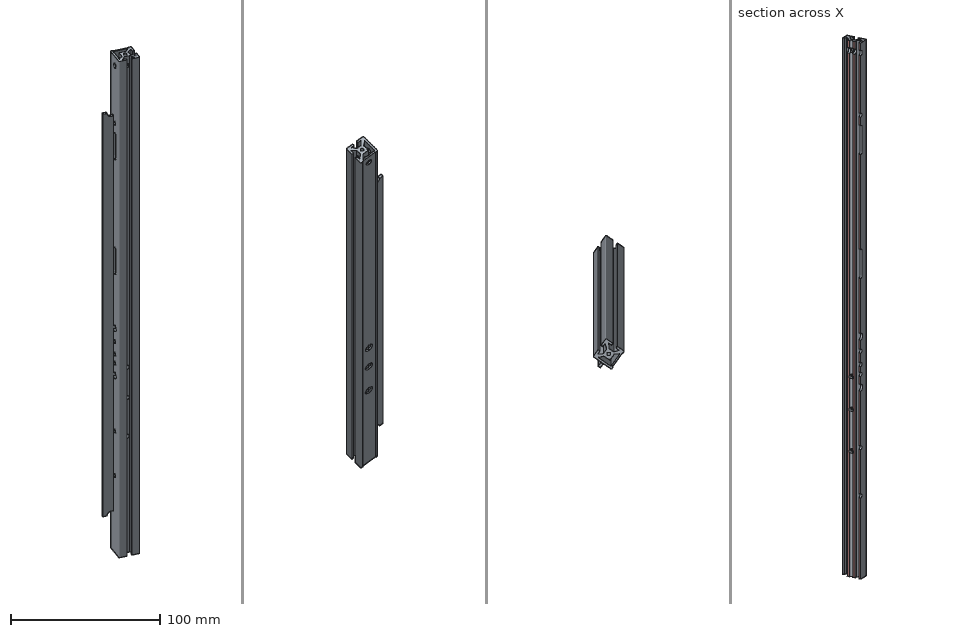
import cadquery as cq

length = 386.8
side = 15.0
corner_radius = 0.5
half = side / 2

wall = 1.5
slot_opening = 3.5
undercut_width = 8.5
core_width = 6.0
slot_floor_width = 4.0
bore_diameter = 2.5

panel_width = 11.5
panel_depth = 0.5

total_depth = 23.0
fin_thickness = 2.0
fin_center_x = -2.9
fin_bottom = 28.5
fin_top = 342.3
fin_tip_width = 3.0
scoop_radius = 3.0

pin_hole_diameter = 2.7
pin_hole_heights = [60.0, 94.8, 147.7, 154.7, 164.5, 334.5]
front_hole_diameter = 4.5
front_hole_heights = [138.0, 175.0]
window_width = 3.5
window_length = 21.0
window_heights = [227.5, 316.7]

top_hole_height = 379.5
top_hole_front_diameter = 3.5
top_hole_side_diameter = 4.5

side_hole_heights = [90.5, 120.5, 144.3]
side_hole_diameter = 6.0
core_hole_diameter = 3.0

wall_inside = half - wall
core_half = core_width / 2
opening_half = slot_opening / 2
undercut_half = undercut_width / 2
slot_floor_half = slot_floor_width / 2


def prism(points):
    """Closed cross-section outline carried along the whole bar."""
    return cq.Workplane("XY").polyline(points).close().extrude(length)


def open_slot():
    """T-slot with tapered flanks, open on the +Y side."""
    right_flank = [
        (opening_half, half),
        (opening_half, wall_inside),
        (undercut_half, wall_inside),
        (slot_floor_half, core_half),
    ]
    left_flank = [(-x, y) for x, y in reversed(right_flank)]
    return prism(right_flank + left_flank)


def closed_chamber():
    """L-shaped hollow between the core and the closed -X and -Y walls."""
    return prism([
        (-wall_inside, undercut_half),
        (-wall_inside, -wall_inside),
        (undercut_half, -wall_inside),
        (slot_floor_half, -core_half),
        (-core_half, -core_half),
        (-core_half, slot_floor_half),
    ])


def profile_bar():
    bar = cq.Workplane("XY").rect(side, side).extrude(length).edges("|Z").fillet(corner_radius)
    panel = cq.Workplane("XY").center(-half, 0).rect(2 * panel_depth, panel_width).extrude(length)
    bore = cq.Workplane("XY").circle(bore_diameter / 2).extrude(length)
    top_slot = open_slot()
    side_slot = top_slot.rotate((0, 0, 0), (0, 0, 1), -90)
    for cutter in (panel, bore, top_slot, side_slot, closed_chamber()):
        bar = bar.cut(cutter)
    return bar


def fin():
    """Flat fin, rooted in the -Y wall, with both ends scooped out behind the tip."""
    root_y = -wall_inside
    tip_y = half - total_depth
    scoop_y = tip_y + fin_tip_width + scoop_radius
    blade = (
        cq.Workplane("YZ", origin=(fin_center_x, 0, 0))
        .moveTo(tip_y, fin_bottom)
        .lineTo(root_y, fin_bottom)
        .lineTo(root_y, fin_top)
        .lineTo(tip_y, fin_top)
        .close()
        .extrude(fin_thickness / 2, both=True)
    )
    scoops = (
        cq.Workplane("YZ", origin=(fin_center_x, 0, 0))
        .pushPoints([(scoop_y, fin_bottom), (scoop_y, fin_top)])
        .circle(scoop_radius)
        .extrude(fin_thickness, both=True)
    )
    return blade.cut(scoops)


def front_hole(diameter, height, depth):
    """Round cutter that enters through the -Y side."""
    return cq.Workplane("XZ", origin=(0, -half, height)).circle(diameter / 2).extrude(-depth)


def side_hole(diameter, height, depth):
    """Round cutter that enters through the -X side."""
    return cq.Workplane("YZ", origin=(-half, 0, height)).circle(diameter / 2).extrude(depth)


def window(height):
    """Upright round-ended cutter through the -Y wall."""
    plane = cq.Workplane("XZ", origin=(0, -half, height))
    return plane.slot2D(window_length, window_width, 90).extrude(-wall)


bar = profile_bar()

for height in pin_hole_heights:
    bar = bar.cut(front_hole(pin_hole_diameter, height, wall))
for height in front_hole_heights:
    bar = bar.cut(front_hole(front_hole_diameter, height, wall))
for height in window_heights:
    bar = bar.cut(window(height))

for height in side_hole_heights:
    bar = bar.cut(side_hole(side_hole_diameter, height, wall))
    bar = bar.cut(side_hole(core_hole_diameter, height, side))

bar = bar.cut(front_hole(top_hole_front_diameter, top_hole_height, side))
bar = bar.cut(side_hole(top_hole_side_diameter, top_hole_height, wall))
bar = bar.cut(side_hole(core_hole_diameter, top_hole_height, side))

result = bar.union(fin())